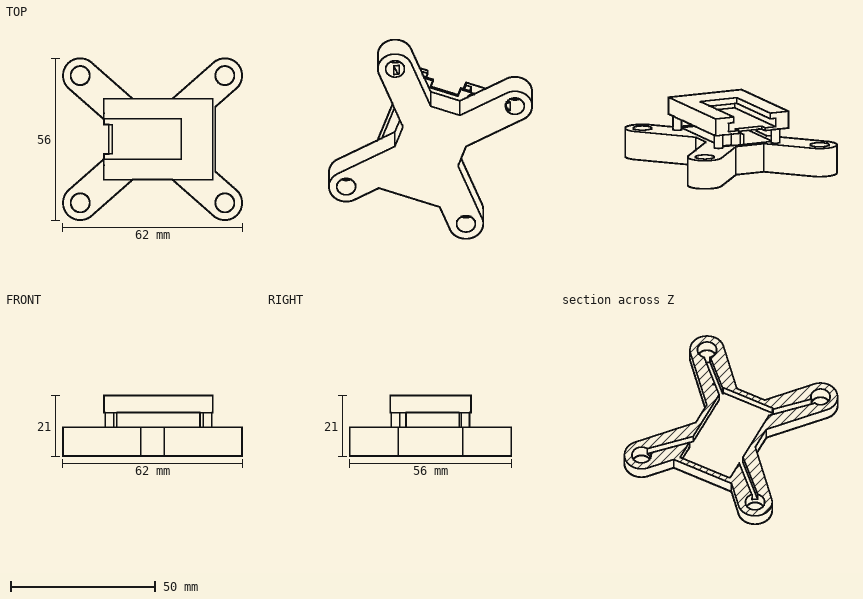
import cadquery as cq
import math

base_height = 10.0
floor_thickness = 2.0
wall_thickness = 2.0
core_x_min = -15.15
core_x_max = 21.75
core_width = 23.2
core_length = core_x_max - core_x_min

ear_pitch_x = 50.0
ear_pitch_y = 44.0
ear_radius = 6.0
ear_hole_diameter = 6.5
arm_width = 11.96
arm_length = math.hypot(ear_pitch_x, ear_pitch_y) / 2

channel_width = 1.85
channel_angle = 45.0
channel_roof_z = 7.7

post_diameter = 3.0
post_height = 5.0
post_centers = [(-14.87, -9.9), (-13.8, 11.4), (19.05, -12.1), (17.87, 12.05)]

plate_x_min = -16.8
plate_length = 37.7
plate_width = 28.0
plate_thickness = 6.0
plate_bottom_z = base_height + post_height
plate_top_z = plate_bottom_z + plate_thickness

slot_width = 18.0
slot_height = 3.0
slot_floor_thickness = 1.0
slot_end_wall = (plate_width - slot_width) / 2
slot_floor_z = plate_bottom_z + slot_floor_thickness

window_length = 26.8
window_width = 14.0
notch_depth = 2.9
notch_width = 10.1


def block(x_min, length, width, z_min, height):
    """Box centred on the X axis, growing along +X and +Z from its minimum corner."""
    box = cq.Workplane("XY").box(length, width, height, centered=(False, True, False))
    return box.translate((x_min, 0, z_min))


def toward_ear(body, side_x, side_y):
    """Turn a body lying along +X so that it points from the origin to one ear."""
    direction = math.degrees(math.atan2(side_y * ear_pitch_y, side_x * ear_pitch_x))
    return body.rotate((0, 0, 0), (0, 0, 1), direction)


def ear_cylinder(side_x, side_y, radius):
    """Upright cylinder of the base height on one ear center."""
    center = (side_x * ear_pitch_x / 2, side_y * ear_pitch_y / 2)
    return cq.Workplane("XY").center(*center).circle(radius).extrude(base_height)


def wire_channel(side_x, side_y):
    """Channel from one ear hole into the core recess, with one side through the ear center."""
    recess_half_width = core_width / 2 - wall_thickness
    run = (ear_pitch_y / 2 - recess_half_width) / math.sin(math.radians(channel_angle)) + channel_width
    height = channel_roof_z - floor_thickness
    channel = cq.Workplane("XY").box(run, channel_width, height, centered=False)
    channel = channel.translate((0, -channel_width, floor_thickness))
    channel = channel.rotate((0, 0, 0), (0, 0, 1), channel_angle)
    channel = channel.translate((-ear_pitch_x / 2, -ear_pitch_y / 2, 0))
    if side_x > 0:
        channel = channel.mirror("YZ")
    if side_y > 0:
        channel = channel.mirror("XZ")
    return channel


def make_base():
    corners = [(side_x, side_y) for side_x in (-1, 1) for side_y in (-1, 1)]
    recess_height = base_height - floor_thickness
    base = block(core_x_min, core_length, core_width, 0, base_height)
    arm = block(0, arm_length, arm_width, 0, base_height)
    for side_x, side_y in corners:
        base = base.union(toward_ear(arm, side_x, side_y))
        base = base.union(ear_cylinder(side_x, side_y, ear_radius))

    base = base.cut(block(
        core_x_min + wall_thickness,
        core_length - 2 * wall_thickness,
        core_width - 2 * wall_thickness,
        floor_thickness,
        recess_height,
    ))
    for side_x, side_y in corners:
        base = base.cut(wire_channel(side_x, side_y))
        base = base.cut(ear_cylinder(side_x, side_y, ear_hole_diameter / 2))
    return base


def make_posts():
    posts = cq.Workplane("XY").workplane(offset=base_height).pushPoints(post_centers)
    return posts.circle(post_diameter / 2).extrude(post_height)


def make_plate():
    plate = block(plate_x_min, plate_length, plate_width, plate_bottom_z, plate_thickness)
    slot = block(plate_x_min, plate_length - slot_end_wall, slot_width, slot_floor_z, slot_height)
    window = block(plate_x_min, window_length, window_width, slot_floor_z, plate_top_z - slot_floor_z)
    notch = block(plate_x_min, notch_depth, notch_width, plate_bottom_z, slot_floor_thickness)
    return plate.cut(slot).cut(window).cut(notch)


result = make_base().union(make_posts()).union(make_plate())